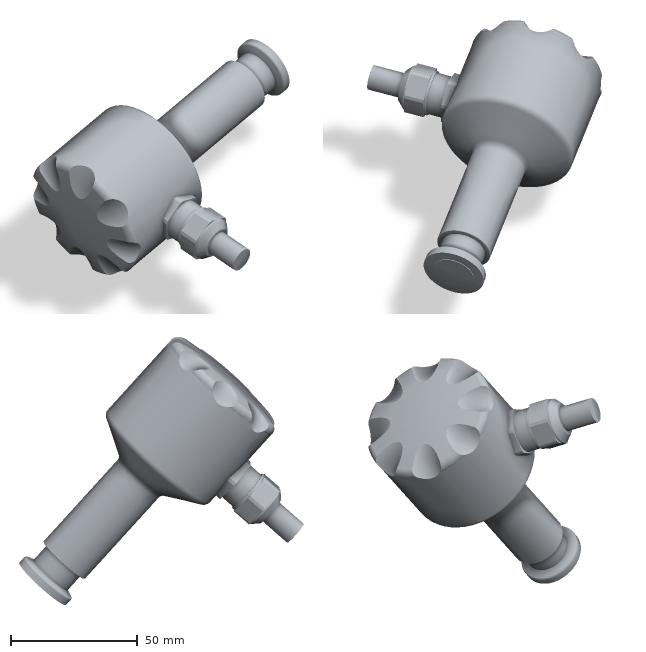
import cadquery as cq
import math

overall_length = 111.8
body_radius = 54.5 / 2

dome_edge_radius = 24.5
dome_height = 2.3
rim_start = 5.9
rim_bulge = 0.75

cone_angle = math.radians(60)
shoulder_start = 42.7
blend_radius = 2.7
tube_radius = 22.0 / 2
tube_end_radius = 21.7 / 2
tube_end_chamfer = tube_radius - tube_end_radius

neck_radius = 18.0 / 2
neck_length = 8.0
flange_radius = 24.9 / 2
flange_rim_thickness = 3.4
flange_taper_length = 1.3
flange_round_setback = 0.6
lip_radius = 16.8 / 2
lip_height = 0.2

scallop_count = 8
scallop_radius = 15.0 / 2
scallop_tilt = 29.4
scallop_depth = 7.7
scallop_cutter_length = 67.1

gland_y = 30.0
gland_root = 16.8
base_hex_end = 29.0
sleeve_end = 35.3
nut_start = 36.3
nut_end = 44.3
cap_start = 44.9
cap_end = 47.6
cable_end = 88.1 - body_radius
hex_across_flats = 18.0
hex_corner_diameter = 20.0
sleeve_diameter = 16.8
cap_mouth_diameter = 12.7
cable_diameter = 10.0


def make_housing():
    """Revolve the knob, body, cone, tube and flange in one profile."""
    blend_length = blend_radius * math.sin(cone_angle)
    blend_inset = blend_radius * (1 - math.cos(cone_angle))
    half_sine = blend_radius * math.sin(cone_angle / 2)
    half_inset = blend_radius * (1 - math.cos(cone_angle / 2))

    cone_wide_radius = body_radius - blend_inset
    cone_narrow_radius = tube_radius + blend_inset
    cone_start = shoulder_start + blend_length
    cone_end = cone_start + (cone_wide_radius - cone_narrow_radius) / math.tan(cone_angle)
    tube_start = cone_end + blend_length

    flange_face = overall_length - lip_height
    flange_rim_start = flange_face - flange_rim_thickness
    neck_end = flange_rim_start - flange_taper_length
    tube_end = neck_end - neck_length

    taper_angle = math.atan2(flange_taper_length, flange_radius - neck_radius)
    turn_angle = math.pi / 2 - taper_angle
    round_radius = flange_round_setback / math.tan(turn_angle / 2)
    round_center = (flange_radius - round_radius, flange_rim_start + flange_round_setback)
    round_start = (
        flange_radius - flange_round_setback * math.cos(taper_angle),
        flange_rim_start - flange_round_setback * math.sin(taper_angle),
    )
    round_middle = (
        round_center[0] + round_radius * math.cos(turn_angle / 2),
        round_center[1] - round_radius * math.sin(turn_angle / 2),
    )
    round_end = (flange_radius, round_center[1])

    rim_middle = (
        dome_edge_radius + rim_bulge * (body_radius - dome_edge_radius),
        rim_start - rim_bulge * (rim_start - dome_height),
    )
    profile = (
        cq.Workplane("XY")
        .threePointArc((dome_edge_radius / 2, dome_height / 4), (dome_edge_radius, dome_height))
        .threePointArc(rim_middle, (body_radius, rim_start))
        .lineTo(body_radius, shoulder_start)
        .threePointArc(
            (body_radius - half_inset, shoulder_start + half_sine),
            (cone_wide_radius, cone_start),
        )
        .lineTo(cone_narrow_radius, cone_end)
        .threePointArc((tube_radius + half_inset, tube_start - half_sine), (tube_radius, tube_start))
        .lineTo(tube_radius, tube_end - tube_end_chamfer)
        .lineTo(tube_end_radius, tube_end)
        .lineTo(neck_radius, tube_end)
        .lineTo(neck_radius, neck_end)
        .lineTo(*round_start)
        .threePointArc(round_middle, round_end)
        .lineTo(flange_radius, flange_face)
        .lineTo(lip_radius, flange_face)
        .lineTo(lip_radius, overall_length)
        .lineTo(0, overall_length)
        .close()
    )
    return profile.revolve(360, (0, 0, 0), (0, 1, 0))


def make_scallop():
    """Tilted round cutter whose deepest line meets the outer wall at scallop_depth."""
    tilt = math.radians(scallop_tilt)
    axis_y = scallop_depth - scallop_radius / math.cos(tilt)
    start = cq.Vector(body_radius, axis_y, 0)
    direction = cq.Vector(math.cos(tilt), math.sin(tilt), 0)
    start = start - direction * (scallop_cutter_length / 2)
    return cq.Workplane(cq.Solid.makeCylinder(scallop_radius, scallop_cutter_length, start, direction))


def gland_plane(station):
    return cq.Workplane("YZ", origin=(station, gland_y, 0))


def gland_cylinder(diameter, start, end):
    return gland_plane(start).circle(diameter / 2).extrude(end - start)


def gland_hex(start, end):
    """Hexagon with flats facing Y and its corners turned down."""
    corner_to_corner = hex_across_flats / math.cos(math.pi / 6)
    hexagon = (
        gland_plane(start)
        .transformed(rotate=(0, 0, 90))
        .polygon(6, corner_to_corner)
        .extrude(end - start)
    )
    return hexagon.intersect(gland_cylinder(hex_corner_diameter, start, end))


def make_gland():
    gland = gland_hex(gland_root, base_hex_end)
    gland = gland.union(gland_cylinder(sleeve_diameter, gland_root, nut_start))
    gland = gland.union(gland_cylinder(hex_across_flats, sleeve_end, cap_start))
    gland = gland.union(gland_hex(nut_start, nut_end))
    cap = (
        gland_plane(cap_start)
        .circle(hex_across_flats / 2)
        .workplane(offset=cap_end - cap_start)
        .circle(cap_mouth_diameter / 2)
        .loft(ruled=True)
    )
    gland = gland.union(cap)
    return gland.union(gland_cylinder(cable_diameter, gland_root, cable_end))


housing = make_housing()
scallop = make_scallop()
for index in range(scallop_count):
    angle = index * 360 / scallop_count
    housing = housing.cut(scallop.rotate((0, 0, 0), (0, 1, 0), angle))

result = housing.union(make_gland())